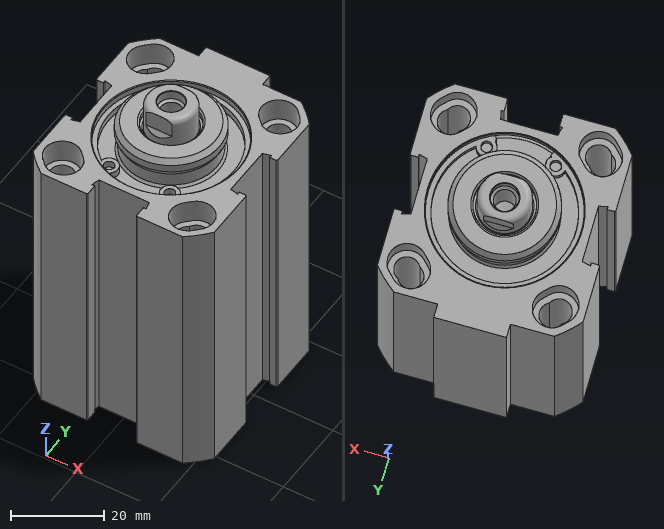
import cadquery as cq
import math

HOUSING_WIDTH = 46.0
HOUSING_DEPTH = 48.0
HOUSING_HEIGHT = 69.5
CORNER_RADIUS = 29.95
OVERALL_HEIGHT = 80.5

RAIL_WIDTH = 16.3
RAIL_REACH = 27.05

SLOT_MOUTH = 12.3
SLOT_UNDERCUT = 13.7
SLOT_FLOOR = 12.7
SLOT_EDGE_CHAMFER = 0.25
SIDE_LIP = 1.9
FRONT_LIP = 3.0
UNDERCUT_DEPTH = 1.9

HOLE_NEAR = 15.8
HOLE_MIDDLE = 17.0
HOLE_FAR = 18.2
HOLE_DIAMETER = 5.6
COUNTERBORE_DIAMETER = 8.5
COUNTERBORE_DEPTH = 5.9

BORE_DIAMETER = 33.7
SEAT_DIAMETER = 34.1
SEAT_MOUTH_DIAMETER = 34.5
GROOVE_DIAMETER = 35.8

RING_INNER_DIAMETER = 31.7
RING_THICKNESS = 1.7
RING_TOP = HOUSING_HEIGHT - 1.7
EAR_RADIUS = 2.25
EAR_HOLE_DIAMETER = 2.5
EAR_CENTRE_RADIUS = 15.0
EAR_ANGLE = 31.0

COVER_PLUG_LENGTH = 9.7
COVER_FACE = RING_TOP - RING_THICKNESS
COVER_BOTTOM = COVER_FACE - COVER_PLUG_LENGTH
NECK_DIAMETER = 23.0
NECK_BASE_CHAMFER = 0.6
COLLAR_DIAMETER = 24.5
COLLAR_TOP = HOUSING_HEIGHT + 5.0
COLLAR_TOP_CHAMFER = 1.1
COLLAR_RIM_HEIGHT = 1.9
COLLAR_UNDERSIDE_HEIGHT = 1.4
RECESS_DIAMETER = 13.7
RECESS_DEPTH = 1.6
RECESS_MOUTH_DIAMETER = 14.6
GUIDE_MOUTH_DIAMETER = 12.55

ROD_DIAMETER = 12.0
ROD_END_FILLET = 1.4
FLATS_WIDTH = 10.0
FLATS_LENGTH = 4.6
THREAD_DIAMETER = 4.9
THREAD_DEPTH = 12.9
ROD_COUNTERBORE_DIAMETER = 6.3
ROD_COUNTERBORE_DEPTH = 2.3
ROD_COUNTERBORE_CHAMFER = 0.12
THREAD_LEAD_IN_HEIGHT = 0.4
DRILL_POINT_ANGLE = 160.0


def cylinder(diameter, bottom, top):
    return cq.Workplane("XY", origin=(0, 0, bottom)).circle(diameter / 2).extrude(top - bottom)


def revolved(profile):
    """Turn a closed (radius, z) outline about the Z axis."""
    return cq.Workplane("XZ").polyline(profile).close().revolve(360, (0, 0, 0), (0, 1, 0))


def sensor_slot(face_distance, lip):
    """Full-height slot cut into the -Y side, whose face lies face_distance from the axis."""
    mouth_y = -face_distance
    step_y = mouth_y + lip
    floor_y = step_y + UNDERCUT_DEPTH
    right_side = [
        (SLOT_MOUTH / 2 + SLOT_EDGE_CHAMFER, mouth_y),
        (SLOT_MOUTH / 2, mouth_y + SLOT_EDGE_CHAMFER),
        (SLOT_MOUTH / 2, step_y),
        (SLOT_UNDERCUT / 2, step_y),
        (SLOT_FLOOR / 2, floor_y),
    ]
    left_side = [(-x, y) for x, y in reversed(right_side)]
    return cq.Workplane("XY").polyline(right_side + left_side).close().extrude(HOUSING_HEIGHT)


def mounting_hole(x_sign, y_sign):
    """Two overlapping through holes under one elongated counterbore."""
    centres = [
        (x_sign * HOLE_NEAR, y_sign * HOLE_FAR),
        (x_sign * HOLE_MIDDLE, y_sign * HOLE_MIDDLE),
    ]
    hole = cq.Workplane("XY")
    for centre in centres:
        hole = hole.union(
            cq.Workplane("XY").center(*centre).circle(HOLE_DIAMETER / 2).extrude(HOUSING_HEIGHT)
        )
    middle_x = x_sign * (HOLE_NEAR + HOLE_MIDDLE) / 2
    middle_y = y_sign * (HOLE_FAR + HOLE_MIDDLE) / 2
    spacing = math.hypot(HOLE_MIDDLE - HOLE_NEAR, HOLE_FAR - HOLE_MIDDLE)
    counterbore = (
        cq.Workplane("XY", origin=(middle_x, middle_y, HOUSING_HEIGHT))
        .slot2D(spacing + COUNTERBORE_DIAMETER, COUNTERBORE_DIAMETER, -45 * x_sign * y_sign)
        .extrude(-COUNTERBORE_DEPTH)
    )
    return hole.union(counterbore)


def make_housing():
    block = cq.Workplane("XY").rect(HOUSING_WIDTH, HOUSING_DEPTH).extrude(HOUSING_HEIGHT)
    housing = block.intersect(cylinder(2 * CORNER_RADIUS, 0, HOUSING_HEIGHT))

    rail = (
        cq.Workplane("XY")
        .center(0, RAIL_REACH / 2)
        .rect(RAIL_WIDTH, RAIL_REACH)
        .extrude(HOUSING_HEIGHT)
    )
    housing = housing.union(rail)

    housing = housing.cut(sensor_slot(HOUSING_DEPTH / 2, FRONT_LIP))
    side_slot = sensor_slot(HOUSING_WIDTH / 2, SIDE_LIP)
    for angle in (90, -90):
        housing = housing.cut(side_slot.rotate((0, 0, 0), (0, 0, 1), angle))

    for x_sign in (-1, 1):
        for y_sign in (-1, 1):
            housing = housing.cut(mounting_hole(x_sign, y_sign))

    mouth_chamfer = (SEAT_MOUTH_DIAMETER - SEAT_DIAMETER) / 2
    bore = revolved([
        (0, COVER_BOTTOM),
        (BORE_DIAMETER / 2, COVER_BOTTOM),
        (BORE_DIAMETER / 2, COVER_FACE),
        (SEAT_DIAMETER / 2, COVER_FACE),
        (SEAT_DIAMETER / 2, HOUSING_HEIGHT - mouth_chamfer),
        (SEAT_MOUTH_DIAMETER / 2, HOUSING_HEIGHT),
        (0, HOUSING_HEIGHT),
    ])
    return housing.cut(bore).cut(cylinder(GROOVE_DIAMETER, COVER_FACE, RING_TOP))


def make_retaining_ring():
    """Open ring with a drilled ear at each end of its gap, which faces -Y."""
    outside = cylinder(GROOVE_DIAMETER, COVER_FACE, RING_TOP)
    ring = outside.cut(cylinder(RING_INNER_DIAMETER, COVER_FACE, RING_TOP))

    ear_x = EAR_CENTRE_RADIUS * math.sin(math.radians(EAR_ANGLE))
    ear_y = -EAR_CENTRE_RADIUS * math.cos(math.radians(EAR_ANGLE))
    ear_points = [(-ear_x, ear_y), (ear_x, ear_y)]
    plane = cq.Workplane("XY", origin=(0, 0, COVER_FACE))
    ears = plane.pushPoints(ear_points).circle(EAR_RADIUS).extrude(RING_THICKNESS)
    ring = ring.union(ears.intersect(outside))

    gap_half_angle = math.radians(EAR_ANGLE) - math.asin(EAR_RADIUS / EAR_CENTRE_RADIUS)
    gap_x = GROOVE_DIAMETER * math.tan(gap_half_angle)
    gap = (
        plane.polyline([(0, 0), (-gap_x, -GROOVE_DIAMETER), (gap_x, -GROOVE_DIAMETER)])
        .close()
        .extrude(RING_THICKNESS)
    )
    holes = plane.pushPoints(ear_points).circle(EAR_HOLE_DIAMETER / 2).extrude(RING_THICKNESS)
    return ring.cut(gap).cut(holes)


def make_rod_cover():
    """Plug in the bore, with a neck and collar above it and a guide hole for the rod."""
    plug_radius = BORE_DIAMETER / 2
    neck_radius = NECK_DIAMETER / 2
    collar_radius = COLLAR_DIAMETER / 2
    rim_top = COLLAR_TOP - COLLAR_TOP_CHAMFER
    rim_bottom = rim_top - COLLAR_RIM_HEIGHT
    guide_chamfer = (GUIDE_MOUTH_DIAMETER - ROD_DIAMETER) / 2
    recess_chamfer = (RECESS_MOUTH_DIAMETER - RECESS_DIAMETER) / 2
    recess_floor = COLLAR_TOP - RECESS_DEPTH
    return revolved([
        (ROD_DIAMETER / 2, COVER_BOTTOM),
        (plug_radius, COVER_BOTTOM),
        (plug_radius, COVER_FACE),
        (neck_radius + NECK_BASE_CHAMFER, COVER_FACE),
        (neck_radius, COVER_FACE + NECK_BASE_CHAMFER),
        (neck_radius, rim_bottom - COLLAR_UNDERSIDE_HEIGHT),
        (collar_radius, rim_bottom),
        (collar_radius, rim_top),
        (collar_radius - COLLAR_TOP_CHAMFER, COLLAR_TOP),
        (RECESS_MOUTH_DIAMETER / 2, COLLAR_TOP),
        (RECESS_DIAMETER / 2, COLLAR_TOP - recess_chamfer),
        (RECESS_DIAMETER / 2, recess_floor),
        (GUIDE_MOUTH_DIAMETER / 2, recess_floor),
        (ROD_DIAMETER / 2, recess_floor - guide_chamfer),
    ])


def wrench_flat():
    """Cutter for the flat on the -Y side, which runs out at 45 degrees."""
    flat_y = -FLATS_WIDTH / 2
    flat_bottom = OVERALL_HEIGHT - FLATS_LENGTH
    outer_y = -ROD_DIAMETER
    runout = flat_y - outer_y
    profile = [
        (flat_y, OVERALL_HEIGHT),
        (flat_y, flat_bottom),
        (outer_y, flat_bottom - runout),
        (outer_y, OVERALL_HEIGHT),
    ]
    return cq.Workplane("YZ").polyline(profile).close().extrude(ROD_DIAMETER / 2, both=True)


def make_piston_rod():
    rod = cylinder(ROD_DIAMETER, COVER_BOTTOM, OVERALL_HEIGHT).faces(">Z").edges().fillet(ROD_END_FILLET)
    flat = wrench_flat()
    rod = rod.cut(flat).cut(flat.mirror("XZ"))

    counterbore_radius = ROD_COUNTERBORE_DIAMETER / 2
    thread_radius = THREAD_DIAMETER / 2
    counterbore_floor = OVERALL_HEIGHT - ROD_COUNTERBORE_DEPTH
    thread_bottom = OVERALL_HEIGHT - THREAD_DEPTH
    drill_point = thread_radius / math.tan(math.radians(DRILL_POINT_ANGLE / 2))
    thread_hole = revolved([
        (0, OVERALL_HEIGHT),
        (counterbore_radius + ROD_COUNTERBORE_CHAMFER, OVERALL_HEIGHT),
        (counterbore_radius, OVERALL_HEIGHT - ROD_COUNTERBORE_CHAMFER),
        (counterbore_radius, counterbore_floor),
        (thread_radius, counterbore_floor - THREAD_LEAD_IN_HEIGHT),
        (thread_radius, thread_bottom),
        (0, thread_bottom - drill_point),
    ])
    return rod.cut(thread_hole)


housing = make_housing()
retaining_ring = make_retaining_ring()
rod_cover = make_rod_cover()
piston_rod = make_piston_rod()

result = cq.Compound.makeCompound(
    [housing.val(), retaining_ring.val(), rod_cover.val(), piston_rod.val()]
)